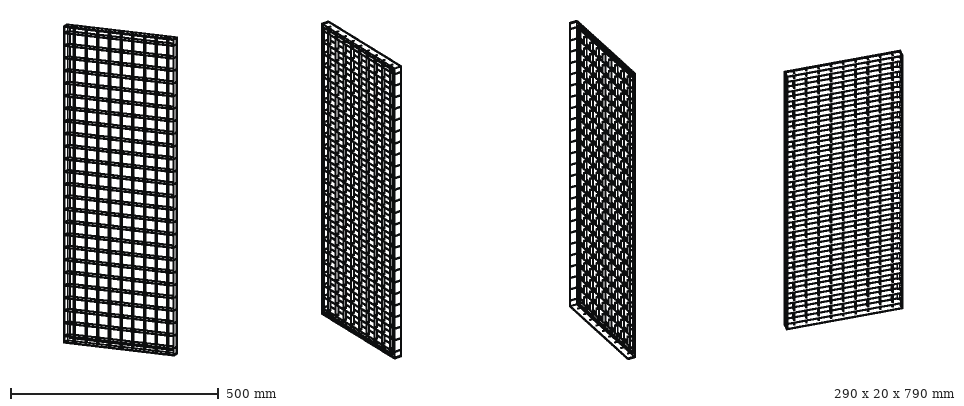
import cadquery as cq

width = 290.0
depth = 20.0
height = 790.0

wall = 2.0
flange_width = 8.0
flange_thickness = 2.0
flange_front = depth / 2 - flange_thickness

bar_count = 25
bar_thickness = 1.5
end_opening = 14.0
bar_span = height - 2 * (wall + end_opening) - bar_thickness
bar_pitch = bar_span / (bar_count - 1)

rod_count = 9
rod_pitch = 31.0
rod_thickness = 2.0
rod_depth = 8.0


def plate(size_x, size_y, size_z, back_y=depth / 2):
    """Plate centred on X and Z whose rear face lies at back_y."""
    return cq.Workplane("XY").box(size_x, size_y, size_z).translate((0, back_y - size_y / 2, 0))


def edge_frame():
    """Rim wall around the outline with a narrow flange behind it."""
    rim = plate(width, depth, height).cut(plate(width - 2 * wall, depth, height - 2 * wall))
    flange = plate(width, flange_thickness, height).cut(
        plate(width - 2 * flange_width, flange_thickness, height - 2 * flange_width)
    )
    return rim.union(flange)


def bearing_bar():
    """Horizontal bar whose ends are embedded halfway into the rim wall."""
    return plate(width - wall, depth, bar_thickness)


def cross_rod():
    """Vertical rod resting on the flange, its ends embedded halfway into the rim wall."""
    return plate(rod_thickness, rod_depth, height - wall, flange_front)


def centred_positions(count, pitch):
    return [(i - (count - 1) / 2) * pitch for i in range(count)]


result = edge_frame()
for z in centred_positions(bar_count, bar_pitch):
    result = result.union(bearing_bar().translate((0, 0, z)))
for x in centred_positions(rod_count, rod_pitch):
    result = result.union(cross_rod().translate((x, 0, 0)))